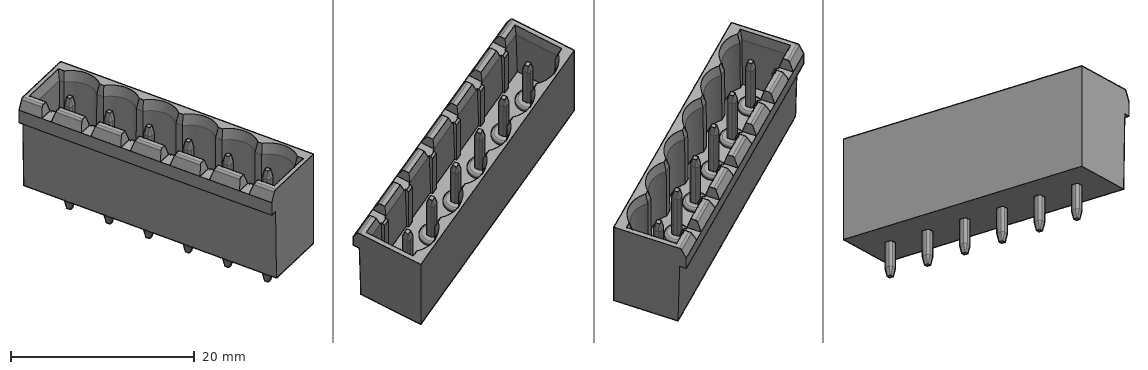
import cadquery as cq
import math


pole_count = 6
pole_pitch = 5.08
pole_xs = [(i - (pole_count - 1) / 2) * pole_pitch for i in range(pole_count)]

length = 32.48
height = 12.02
back_y = 3.8
depth = 8.6
lip_y = back_y - depth
lip_height = 2.95
foot_setback = 0.97
neck_setback = 0.78
bevel_height = 1.27
bevel_setback = 0.62
bevel_round = 0.32

rim_side = 0.52
rim_back = 1.3
rim_front = 1.35
lead_in = 0.32
lead_in_depth = bevel_height
wall_top_z = height - lead_in_depth
front_wall_y = lip_y + rim_front + lead_in
front_draft = 0.15
back_draft = 0.05
floor_z = 3.5

mouth_scallop_half = 2.27
wall_scallop_half = 2.1
mouth_scallop_wall = 0.35
wall_scallop_wall = mouth_scallop_wall + lead_in
scallop_draft = 0.2

notch_top_width = 1.82
notch_floor_width = 1.2

rib_width = 0.78
rib_depth = 0.42
rib_slope = 0.25

pin_width = 1.0
pin_corner_radius = 0.3
pin_tip_length = 1.0
pin_tip_inset = 0.245
tail_length = 4.0
pin_top_gap = 1.07
collar_radius = 1.4
collar_height = 0.5
collar_round = 0.32


def make_housing():
    """Side profile with an overhanging, bevelled front lip, extruded along X."""
    profile = [
        (back_y, 0),
        (back_y, height),
        (lip_y + bevel_setback, height),
        (lip_y, height - bevel_height),
        (lip_y, height - lip_height),
        (lip_y + neck_setback, height - lip_height),
        (lip_y + foot_setback, 0),
    ]
    body = cq.Workplane("YZ").polyline(profile).close().extrude(length / 2, both=True)
    bevel_top = cq.selectors.NearestToPointSelector((0, lip_y + bevel_setback, height))
    return body.edges(bevel_top).fillet(bevel_round)


def cavity_outline(plane, side_inset, front_inset, back_inset, scallop_half, scallop_wall):
    """Closed cavity outline: straight front and sides, a scalloped back with an arc at every pole."""
    side_x = length / 2 - rim_side - side_inset
    front = lip_y + rim_front + front_inset
    back = back_y - rim_back - back_inset
    outline = plane.moveTo(side_x, front).lineTo(-side_x, front).lineTo(-side_x, back)
    for x in pole_xs:
        outline = outline.lineTo(x - scallop_half, back)
        outline = outline.threePointArc((x, back_y - scallop_wall), (x + scallop_half, back))
    return outline.lineTo(side_x, back).close()


def make_cavity():
    """Flared mouth above a slightly drafted well."""
    mouth = cq.Workplane("XY", origin=(0, 0, height))
    mouth = cavity_outline(mouth, 0, 0, 0, mouth_scallop_half, mouth_scallop_wall)
    mouth = cavity_outline(mouth.workplane(offset=-lead_in_depth), lead_in, lead_in, lead_in,
                           wall_scallop_half, wall_scallop_wall)
    mouth = mouth.loft(ruled=True)

    well = cq.Workplane("XY", origin=(0, 0, wall_top_z))
    well = cavity_outline(well, lead_in, lead_in, lead_in, wall_scallop_half, wall_scallop_wall)
    well = cavity_outline(well.workplane(offset=floor_z - wall_top_z),
                          lead_in, lead_in + front_draft, lead_in + back_draft,
                          wall_scallop_half, wall_scallop_wall + scallop_draft)
    well = well.loft(ruled=True)
    return mouth.union(well)


def make_notch(x):
    """Tapered gap through the front wall, narrower at its floor."""
    notch_floor_z = height - bevel_height
    corners = [
        (x - notch_top_width / 2, height),
        (x + notch_top_width / 2, height),
        (x + notch_floor_width / 2, notch_floor_z),
        (x - notch_floor_width / 2, notch_floor_z),
    ]
    notch = cq.Workplane("XZ", origin=(0, lip_y, 0)).polyline(corners).close()
    return notch.extrude(lip_y - front_wall_y)


def make_rib(x):
    """Upright rib on the front wall, with a sloping top."""
    profile = [
        (front_wall_y, floor_z),
        (front_wall_y, wall_top_z),
        (front_wall_y + rib_depth - rib_slope, wall_top_z),
        (front_wall_y + rib_depth, wall_top_z - rib_slope),
        (front_wall_y + rib_depth, floor_z),
    ]
    rib = cq.Workplane("YZ", origin=(x, 0, 0)).polyline(profile).close()
    return rib.extrude(rib_width / 2, both=True)


def make_pin(x):
    """Rounded square pin, tapered at both ends."""
    pin_length = tail_length + height - pin_top_gap
    taper = math.degrees(math.atan(pin_tip_inset / pin_tip_length))

    def section(z):
        square = cq.Sketch().rect(pin_width, pin_width).vertices().fillet(pin_corner_radius)
        return cq.Workplane("XY", origin=(x, 0, z)).placeSketch(square)

    shank_bottom_z = pin_tip_length - tail_length
    shank_length = pin_length - 2 * pin_tip_length
    shank = section(shank_bottom_z).extrude(shank_length)
    top_tip = section(shank_bottom_z + shank_length).extrude(pin_tip_length, taper=taper)
    tail_tip = section(shank_bottom_z).extrude(-pin_tip_length, taper=taper)
    return shank.union(top_tip).union(tail_tip)


def make_collar(x):
    """Round boss on the cavity floor around a pin."""
    collar = cq.Workplane("XY", origin=(x, 0, floor_z)).circle(collar_radius).extrude(collar_height)
    return collar.faces(">Z").edges().fillet(collar_round)


result = make_housing().cut(make_cavity())
for pole_x in pole_xs:
    result = result.cut(make_notch(pole_x))
    result = result.union(make_rib(pole_x))
    result = result.union(make_collar(pole_x))
    result = result.union(make_pin(pole_x))